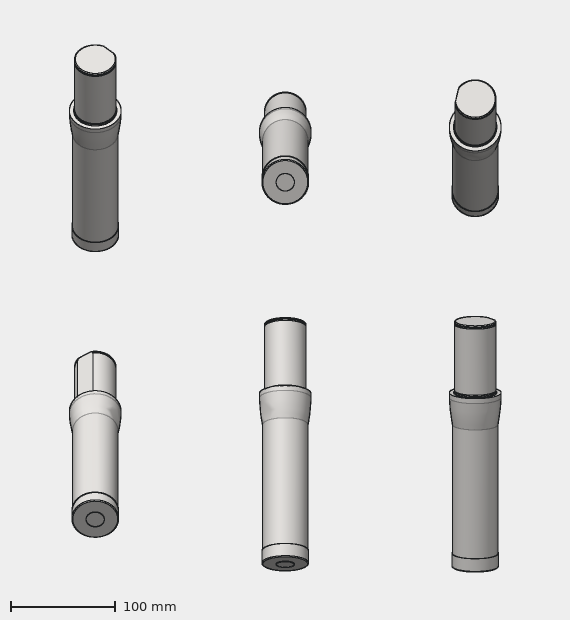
import cadquery as cq

TOTAL_HEIGHT = 242.0

GRIP_DIAMETER = 43.5
BASE_DIAMETER = 44.8
COLLAR_DIAMETER = 49.5
FOOT_DIAMETER = 17.5
FOOT_HEIGHT = 0.7
BASE_CHAMFER = 1.0
BASE_TOP = 14.0
FLARE_BOTTOM = 140.4
FLARE_TOP = 167.0
COLLAR_TOP = 171.8
FLARE_BULGE = 0.5

SOCKET_DEPTH = COLLAR_TOP - FLARE_BOTTOM
SOCKET_CHAMFER = 0.7

ROD_DIAMETER = 40.0
GROOVE_DIAMETER = 39.5
GROOVE_WIDTH = 1.2
TOP_GROOVE_BOTTOM = 238.9
LOWER_GROOVE_BOTTOM = 172.8
ROD_CHAMFER = 1.0
FLAT_OFFSET = 18.0
FLAT_BOTTOM = 175.7
SOCKET_FLOOR = COLLAR_TOP - SOCKET_DEPTH


def make_handle():
    """Revolved handle with a blind socket in its collar."""
    foot_radius = FOOT_DIAMETER / 2
    base_radius = BASE_DIAMETER / 2
    grip_radius = GRIP_DIAMETER / 2
    collar_radius = COLLAR_DIAMETER / 2
    base_edge_top = FOOT_HEIGHT + BASE_CHAMFER
    flare_middle = (
        (grip_radius + collar_radius) / 2 + FLARE_BULGE,
        (FLARE_BOTTOM + FLARE_TOP) / 2,
    )
    body = (
        cq.Workplane("XZ")
        .moveTo(0, 0)
        .lineTo(foot_radius, 0)
        .lineTo(foot_radius, FOOT_HEIGHT)
        .lineTo(base_radius - BASE_CHAMFER, FOOT_HEIGHT)
        .lineTo(base_radius, base_edge_top)
        .lineTo(base_radius, BASE_TOP)
        .lineTo(grip_radius, BASE_TOP)
        .lineTo(grip_radius, FLARE_BOTTOM)
        .threePointArc(flare_middle, (collar_radius, FLARE_TOP))
        .lineTo(collar_radius, COLLAR_TOP)
        .lineTo(0, COLLAR_TOP)
        .close()
        .revolve(360, (0, 0, 0), (0, 1, 0))
    )
    return (
        body.faces(">Z").workplane()
        .hole(ROD_DIAMETER, SOCKET_DEPTH)
        .faces(">Z").edges("%CIRCLE").edges(cq.selectors.RadiusNthSelector(0))
        .chamfer(SOCKET_CHAMFER)
    )


def make_groove(bottom):
    """Ring that cuts a shallow groove around the rod."""
    return (
        cq.Workplane("XY", origin=(0, 0, bottom))
        .circle(COLLAR_DIAMETER / 2)
        .circle(GROOVE_DIAMETER / 2)
        .extrude(GROOVE_WIDTH)
    )


def make_flat_cutter():
    """Block that cuts the flat on the +Y side, with a 45 degree run-out at its lower end."""
    reach = COLLAR_DIAMETER / 2
    return (
        cq.Workplane("YZ")
        .moveTo(FLAT_OFFSET, TOTAL_HEIGHT)
        .lineTo(FLAT_OFFSET, FLAT_BOTTOM + ROD_DIAMETER / 2 - FLAT_OFFSET)
        .lineTo(ROD_DIAMETER / 2, FLAT_BOTTOM)
        .lineTo(reach, FLAT_BOTTOM)
        .lineTo(reach, TOTAL_HEIGHT)
        .close()
        .extrude(reach, both=True)
    )


def make_rod():
    """Round rod standing on the socket floor, with a flat and two grooves."""
    rod = (
        cq.Workplane("XY", origin=(0, 0, SOCKET_FLOOR))
        .circle(ROD_DIAMETER / 2)
        .extrude(TOTAL_HEIGHT - SOCKET_FLOOR)
        .faces(">Z").chamfer(ROD_CHAMFER)
    )
    for bottom in (LOWER_GROOVE_BOTTOM, TOP_GROOVE_BOTTOM):
        rod = rod.cut(make_groove(bottom))
    return rod.cut(make_flat_cutter())


handle = make_handle()
rod = make_rod()
result = cq.Compound.makeCompound([handle.val(), rod.val()])